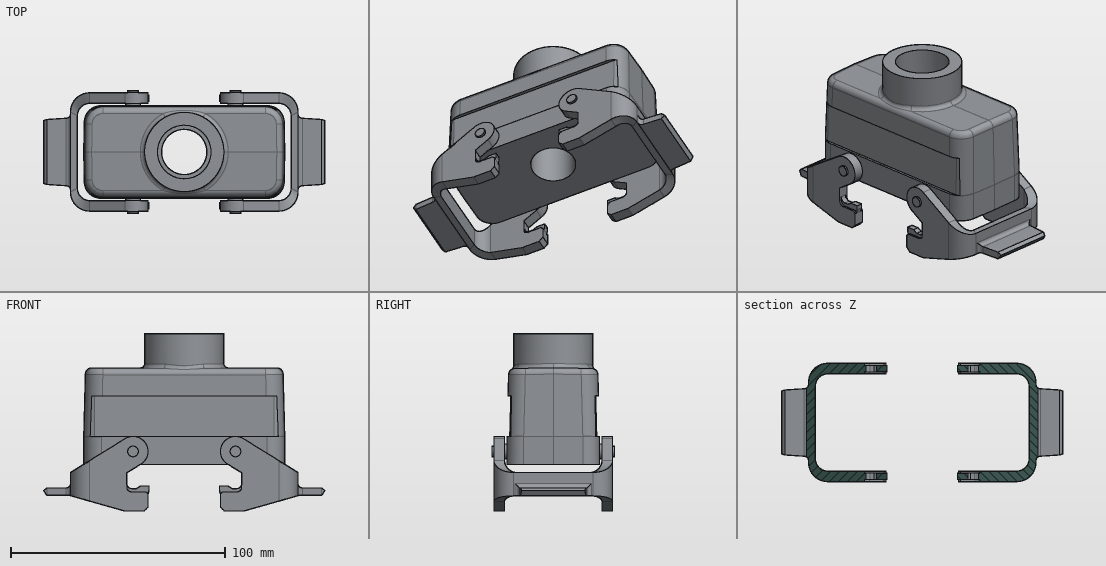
import cadquery as cq
import math



def tan(degrees):
    return math.tan(math.radians(degrees))


hood_half_length = 46.95
hood_half_width = 21.65
collar_height = 13.0
hood_height = 45.1
wall_draft = 1.5
parting_draft = 1.0
corner_radius = 8.0
roof_edge_radius = 3.0
skirt_depth = 5.0
overrun = 25.0
rim_margin = 0.5

panel_top = 32.0
panel_floor_y = 20.35
panel_flat_half_length = 41.8
panel_end_slope = 16.0

neck_diameter = 37.0
neck_start = 30.0
neck_top = 61.0
neck_root_radius = 2.0
entry_diameter = 25.0
entry_depth = 13.6
bore_diameter = 21.0

pivot_x = 23.9
pivot_z = 6.1
peg_diameter = 5.0
peg_start_y = 18.0
peg_end_y = 28.6
peg_shoulder_diameter = 7.0

yoke_half_width = 27.65
arm_thickness = 5.0
yoke_end_x = 53.1
crossbar_thickness = 3.3
bend_outer_radius = 9.0
arm_inner_y = yoke_half_width - arm_thickness
yoke_inner_x = yoke_end_x - crossbar_thickness
bend_start_x = yoke_end_x - bend_outer_radius
bend_inner_radius = yoke_inner_x - bend_start_x
bend_outer_y = yoke_half_width - bend_outer_radius
bend_inner_y = arm_inner_y - bend_inner_radius

arm_eye_radius = 7.0
arm_edge_slope = 31.7
edge_offset_x = arm_eye_radius * math.sin(math.radians(arm_edge_slope))
edge_offset_z = arm_eye_radius * math.cos(math.radians(arm_edge_slope))
lever_bottom = -21.8
crossbar_bottom = -14.6
lower_edge_slope = 15.8
hook_tip_x = 16.8
hook_tip_chamfer = 2.0
hook_wall_x = 26.8
hook_floor = -12.8
hook_floor_radius = 2.3
hook_lip_chamfer = 1.0

tongue_thickness = 3.0
tongue_tip_x = 16.4
tongue_top = -10.0
tongue_floor = -11.2
tongue_ramp_x = (20.4, 22.4)
tongue_radius = 2.4
tongue_root = 0.5
tongue_tip_height = 2.0

overall_length = 131.28
tab_tip_x = overall_length / 2
tab_top = -10.9
tab_bottom = -14.4
tab_ridge_z = -12.2
tab_bevel = 1.5
tab_root_half_width = 15.8
tab_end_half_width = 15.2
tab_tip_half_width = 14.7
tab_root_radius = 2.0


def upper_edge_z(x):
    """Height of the lever's upper edge, tangent to the eye."""
    return pivot_z + edge_offset_z - (x - pivot_x - edge_offset_x) * tan(arm_edge_slope)


def lower_edge_z(x):
    """Height of the lever's lower edge, which rises to the crossbar."""
    return crossbar_bottom - (yoke_end_x - x) * tan(lower_edge_slope)


crossbar_top = upper_edge_z(yoke_end_x)


def front_block():
    """Front half of the hood with rounded corners and roof edges, continued past the plane Y = 0."""
    growth = overrun * tan(parting_draft)
    foot_x = hood_half_length + growth
    roof_z = hood_height + growth
    roof_x = foot_x - (roof_z - collar_height) * tan(wall_draft)
    lengthwise = [
        (-foot_x, -skirt_depth),
        (foot_x, -skirt_depth),
        (foot_x, collar_height),
        (roof_x, roof_z),
        (-roof_x, roof_z),
        (-foot_x, collar_height),
    ]
    front_wall_top = 2 * hood_height
    crosswise = [
        (2 * overrun, -2 * skirt_depth),
        (-hood_half_width, -2 * skirt_depth),
        (-hood_half_width, collar_height),
        ((front_wall_top - collar_height) * tan(wall_draft) - hood_half_width, front_wall_top),
        (2 * overrun, front_wall_top),
    ]
    block = cq.Workplane("XZ", origin=(0, overrun, 0)).polyline(lengthwise).close()
    block = block.extrude(overrun + 2 * hood_half_width, taper=parting_draft)
    front_limit = cq.Workplane("YZ").polyline(crosswise).close()
    block = block.intersect(front_limit.extrude(2 * hood_half_length, both=True))
    skirt = cq.Workplane("XY").rect(4 * hood_half_length, 4 * overrun).extrude(-2 * skirt_depth)
    block = block.cut(skirt)
    for side in (-1, 1):
        corner = cq.selectors.BoxSelector(
            (side * (hood_half_length - corner_radius / 2), -2 * hood_half_width, rim_margin),
            (side * 2 * hood_half_length, -hood_half_width / 2, hood_height - roof_edge_radius),
        )
        block = block.edges(corner).fillet(corner_radius)
    return block.faces(">Z").edges("not >Y").fillet(roof_edge_radius)


def front_panel_cut():
    """Sunk panel that leans with the wall: flat in the middle, sloping outward at both ends."""
    reach = hood_half_length
    drop = (reach - panel_flat_half_length) * tan(panel_end_slope)
    lean = math.radians(wall_draft)
    uphill = (0, math.sin(lean), math.cos(lean))
    floor_plane = cq.Plane((0, -panel_floor_y, collar_height), (1, 0, 0), uphill)
    leaning = (
        cq.Workplane(floor_plane)
        .moveTo(-reach, -hood_half_width)
        .lineTo(reach, -hood_half_width)
        .lineTo(reach, drop)
        .lineTo(panel_flat_half_length, 0)
        .lineTo(-panel_flat_half_length, 0)
        .lineTo(-reach, drop)
        .close()
        .extrude(hood_height, both=True)
    )
    slab = cq.Workplane("XY").workplane(offset=collar_height).rect(4 * reach, 8 * hood_half_width)
    return leaning.intersect(slab.extrude(panel_top - collar_height))


def front_half_hood():
    """Front half with the neck, its root fillet and the sunk panel."""
    neck = cq.Workplane("XY").workplane(offset=neck_start).circle(neck_diameter / 2)
    half = front_block().union(neck.extrude(neck_top - neck_start))
    root_height = hood_height - roof_edge_radius
    root = cq.selectors.BoxSelector(
        (-neck_diameter / 2, -neck_diameter / 2, root_height),
        (neck_diameter / 2, neck_diameter / 2, root_height + 2 * roof_edge_radius),
    )
    half = half.edges(root).fillet(neck_root_radius).cut(front_panel_cut())
    front_side = cq.Workplane("XZ").rect(4 * hood_half_length, 4 * neck_top).extrude(2 * hood_half_width)
    return half.intersect(front_side)


def peg(side_x, side_y):
    """Peg with a wider shoulder that spaces the lever arm off the collar."""
    plane = cq.Plane((side_x * pivot_x, side_y * peg_start_y, pivot_z), (1, 0, 0), (0, side_y, 0))
    shoulder = cq.Workplane(plane).circle(peg_shoulder_diameter / 2).extrude(arm_inner_y - peg_start_y)
    pin = cq.Workplane(plane).circle(peg_diameter / 2).extrude(peg_end_y - peg_start_y)
    return shoulder.union(pin)


def make_hood():
    front = front_half_hood()
    hood = front.union(front.mirror("XZ"))
    for side_x in (-1, 1):
        for side_y in (-1, 1):
            hood = hood.union(peg(side_x, side_y))
    bore = cq.Workplane("XY").circle(bore_diameter / 2).extrude(neck_top)
    entry = cq.Workplane("XY").workplane(offset=neck_top).circle(entry_diameter / 2).extrude(-entry_depth)
    return hood.cut(bore).cut(entry)


def arm():
    """Arm on the +Y side: eye around the pivot, hook below, sloping edges toward the bend."""
    heel_x = yoke_end_x - (crossbar_bottom - lever_bottom) / tan(lower_edge_slope)
    eye_tip = (pivot_x - edge_offset_z, pivot_z + edge_offset_x)
    throat_x = pivot_x - edge_offset_x
    throat_z = pivot_z - edge_offset_z
    return (
        cq.Workplane("XZ", origin=(0, yoke_half_width, 0))
        .moveTo(pivot_x + edge_offset_x, pivot_z + edge_offset_z)
        .threePointArc(eye_tip, (throat_x, throat_z))
        .lineTo(hook_wall_x, throat_z - (hook_wall_x - throat_x) * tan(arm_edge_slope))
        .lineTo(hook_wall_x, hook_floor + hook_floor_radius)
        .radiusArc((hook_wall_x - hook_floor_radius, hook_floor), hook_floor_radius)
        .lineTo(hook_tip_x + hook_lip_chamfer, hook_floor)
        .lineTo(hook_tip_x, hook_floor - hook_lip_chamfer)
        .lineTo(hook_tip_x, lever_bottom + hook_tip_chamfer)
        .lineTo(hook_tip_x + hook_tip_chamfer, lever_bottom)
        .lineTo(heel_x, lever_bottom)
        .lineTo(bend_start_x, lower_edge_z(bend_start_x))
        .lineTo(bend_start_x, upper_edge_z(bend_start_x))
        .close()
        .extrude(arm_thickness)
    )


def bend_edge(radius, centre_y, start_z, end_z):
    """Quarter of a tilted ellipse, round in plan, that drops from the arm to the crossbar."""
    drop = start_z - end_z
    downhill = cq.Vector(radius, 0, -drop)
    return cq.Edge.makeEllipse(
        downhill.Length,
        radius,
        pnt=cq.Vector(bend_start_x, centre_y, start_z),
        dir=downhill.cross(cq.Vector(0, 1, 0)),
        xdir=downhill,
        angle1=0,
        angle2=90,
    )


def bend():
    """Bent strip from the arm on the +Y side to the crossbar, with radial upper and lower edges."""
    top = (upper_edge_z(bend_start_x), crossbar_top)
    bottom = (lower_edge_z(bend_start_x), crossbar_bottom)
    outer_top = bend_edge(bend_outer_radius, bend_outer_y, *top)
    outer_bottom = bend_edge(bend_outer_radius, bend_outer_y, *bottom)
    inner_top = bend_edge(bend_inner_radius, bend_inner_y, *top)
    inner_bottom = bend_edge(bend_inner_radius, bend_inner_y, *bottom)
    loop = [outer_top, outer_bottom, inner_bottom, inner_top]
    faces = [cq.Face.makeRuledSurface(loop[i - 1], loop[i]) for i in range(len(loop))]
    for end in (0, 1):
        corners = [edge.positionAt(end) for edge in loop]
        faces.append(cq.Face.makeFromWires(cq.Wire.makePolygon(corners, close=True)))
    return cq.Workplane(cq.Solid.makeSolid(cq.Shell.makeShell(faces)))


def crossbar():
    plan = [
        (yoke_end_x, -bend_outer_y),
        (yoke_end_x, bend_outer_y),
        (yoke_inner_x, bend_inner_y),
        (yoke_inner_x, -bend_inner_y),
    ]
    bar = cq.Workplane("XY").workplane(offset=crossbar_bottom).polyline(plan).close()
    return bar.extrude(crossbar_top - crossbar_bottom)


def hook_tongue():
    """Thin tongue that raises the middle of the hook floor, with a dip behind its tip."""
    ramp_top_x, ramp_foot_x = tongue_ramp_x
    return (
        cq.Workplane("XZ", origin=(0, tongue_thickness / 2, 0))
        .moveTo(hook_wall_x, tongue_floor + tongue_radius)
        .radiusArc((hook_wall_x - tongue_radius, tongue_floor), tongue_radius)
        .lineTo(ramp_foot_x, tongue_floor)
        .lineTo(ramp_top_x, tongue_top)
        .lineTo(tongue_tip_x, tongue_top)
        .lineTo(tongue_tip_x, tongue_top - tongue_tip_height)
        .lineTo(hook_tip_x, hook_floor - hook_lip_chamfer)
        .lineTo(hook_wall_x + tongue_root, hook_floor - hook_lip_chamfer)
        .lineTo(hook_wall_x + tongue_root, tongue_floor + tongue_radius)
        .close()
        .extrude(tongue_thickness)
    )


def thumb_tab():
    """Tapering tab with a pointed outer edge and flared root."""
    tip_x = tab_tip_x - tab_bevel
    inner_x = yoke_end_x - crossbar_thickness / 2
    root_x = yoke_end_x + tab_root_radius
    flare = tab_root_half_width + tab_root_radius
    plan = (
        cq.Workplane("XY", origin=(0, 0, -yoke_half_width))
        .moveTo(inner_x, -flare)
        .lineTo(yoke_end_x, -flare)
        .radiusArc((root_x, -tab_root_half_width), tab_root_radius)
        .lineTo(tip_x, -tab_end_half_width)
        .lineTo(tab_tip_x, -tab_tip_half_width)
        .lineTo(tab_tip_x, tab_tip_half_width)
        .lineTo(tip_x, tab_end_half_width)
        .lineTo(root_x, tab_root_half_width)
        .radiusArc((yoke_end_x, flare), tab_root_radius)
        .lineTo(inner_x, flare)
        .close()
        .extrude(2 * yoke_half_width)
    )
    side = (
        cq.Workplane("XZ", origin=(0, flare, 0))
        .moveTo(inner_x, tab_bottom)
        .lineTo(tip_x, tab_bottom)
        .lineTo(tab_tip_x, tab_ridge_z)
        .lineTo(tip_x, tab_top)
        .lineTo(root_x, tab_top)
        .radiusArc((yoke_end_x, tab_top + tab_root_radius), tab_root_radius)
        .lineTo(inner_x, tab_top + tab_root_radius)
        .close()
        .extrude(2 * flare)
    )
    return plan.intersect(side)


def make_lever():
    """Lever for the +X end of the hood."""
    half_yoke = arm().union(bend())
    lever = half_yoke.union(half_yoke.mirror("XZ")).union(crossbar()).union(thumb_tab())
    tongue = hook_tongue()
    arm_middle_y = arm_inner_y + arm_thickness / 2
    for side_y in (-1, 1):
        lever = lever.union(tongue.translate((0, side_y * arm_middle_y, 0)))
    peg_holes = (
        cq.Workplane("XZ", origin=(pivot_x, 2 * yoke_half_width, pivot_z))
        .circle(peg_diameter / 2)
        .extrude(4 * yoke_half_width)
    )
    return lever.cut(peg_holes)


hood = make_hood()
right_lever = make_lever()
levers = [right_lever, right_lever.mirror("YZ")]

result = cq.Compound.makeCompound([hood.val(), *[lever.val() for lever in levers]])